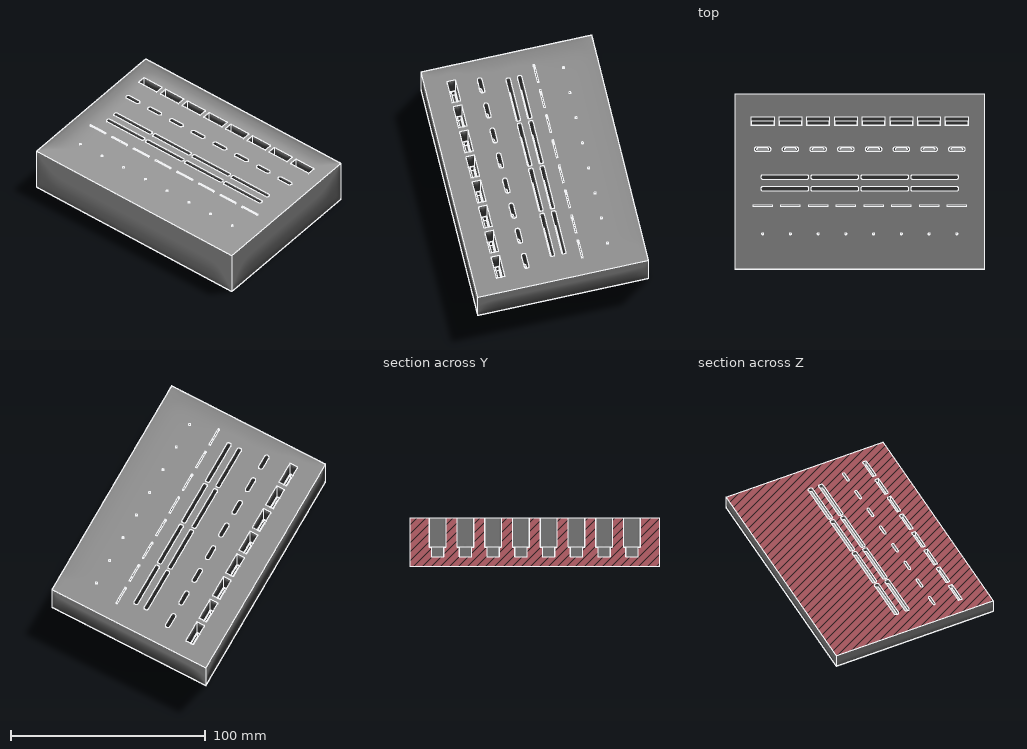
import cadquery as cq

LENGTH = 128.0
WIDTH = 90.0
HEIGHT = 25.0

LEDGE_DEPTH = 15.0
FLOOR_DEPTH = 20.0

COLUMNS = 8
ROW_SPAN = 99.6
PITCH = ROW_SPAN / (COLUMNS - 1)

WINDOW_Y = 31.0
WINDOW_LENGTH = 11.9
WINDOW_WIDTH = 4.5
WINDOW_POCKET_LENGTH = 11.4
WINDOW_POCKET_WIDTH = 1.9
WINDOW_POCKET_OFFSET = 0.9

ROUND_SLOT_Y = 16.6
ROUND_SLOT_LENGTH = 8.5
ROUND_SLOT_WIDTH = 2.4
INNER_SLOT_LENGTH = 6.1
INNER_SLOT_WIDTH = 1.0

LONG_SLOT_COLUMNS = 4
LONG_SLOT_PITCH = 25.6
LONG_SLOT_LENGTH = 24.3
LONG_SLOT_WIDTH = 2.3
LONG_SLOT_CORNER_RADIUS = 0.8
LONG_SLOT_ROW_GAP = 6.0
LONG_SLOT_MID_Y = -0.6

SLIT_Y = -12.3
SLIT_LENGTH = 10.0
SLIT_WIDTH = 0.8
SLIT_DEPTH = 10.0

PIN_HOLE_Y = -26.8
PIN_HOLE_DIAMETER = 1.0
PIN_HOLE_DEPTH = 2.5


def row_on_top(y, count=COLUMNS, pitch=PITCH):
    """Top-face workplane with points evenly spaced along X, centred on X = 0."""
    first_x = -pitch * (count - 1) / 2
    points = [(first_x + pitch * i, y) for i in range(count)]
    return cq.Workplane("XY", origin=(0, 0, HEIGHT)).pushPoints(points)


def windows():
    """Rectangular recesses, each with a deeper pocket towards its -Y side."""
    recesses = row_on_top(WINDOW_Y).rect(WINDOW_LENGTH, WINDOW_WIDTH).extrude(-LEDGE_DEPTH)
    pockets = (
        row_on_top(WINDOW_Y - WINDOW_POCKET_OFFSET)
        .rect(WINDOW_POCKET_LENGTH, WINDOW_POCKET_WIDTH)
        .extrude(-FLOOR_DEPTH)
    )
    return recesses.union(pockets)


def round_slots():
    """Round-ended slots, each with a narrower and deeper slot along its middle."""
    outer = row_on_top(ROUND_SLOT_Y).slot2D(ROUND_SLOT_LENGTH, ROUND_SLOT_WIDTH).extrude(-LEDGE_DEPTH)
    inner = row_on_top(ROUND_SLOT_Y).slot2D(INNER_SLOT_LENGTH, INNER_SLOT_WIDTH).extrude(-FLOOR_DEPTH)
    return outer.union(inner)


def long_slots(y):
    """One row of long slots with rounded vertical corners."""
    return (
        row_on_top(y, LONG_SLOT_COLUMNS, LONG_SLOT_PITCH)
        .rect(LONG_SLOT_LENGTH, LONG_SLOT_WIDTH)
        .extrude(-FLOOR_DEPTH)
        .edges("|Z")
        .fillet(LONG_SLOT_CORNER_RADIUS)
    )


def slits():
    """Narrow rectangular slits."""
    return row_on_top(SLIT_Y).rect(SLIT_LENGTH, SLIT_WIDTH).extrude(-SLIT_DEPTH)


def pin_holes():
    """Small blind round holes."""
    return row_on_top(PIN_HOLE_Y).circle(PIN_HOLE_DIAMETER / 2).extrude(-PIN_HOLE_DEPTH)


result = (
    cq.Workplane("XY")
    .box(LENGTH, WIDTH, HEIGHT, centered=(True, True, False))
    .cut(windows())
    .cut(round_slots())
    .cut(long_slots(LONG_SLOT_MID_Y + LONG_SLOT_ROW_GAP / 2))
    .cut(long_slots(LONG_SLOT_MID_Y - LONG_SLOT_ROW_GAP / 2))
    .cut(slits())
    .cut(pin_holes())
)